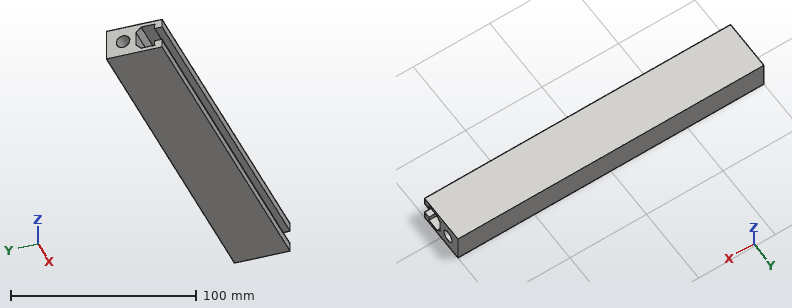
import cadquery as cq

length = 200.0
depth = 32.0
height = 18.5

slot_depth = 15.0
slot_height = 14.0
mouth_height = 8.2
lip_thickness = 4.2
corner_chamfer = 3.0

bore_diameter = 7.5
bore_from_back = 9.5

front_y = -depth / 2
back_y = depth / 2


def bar_between(y_start, y_end, bar_height):
    """Full-length bar between two Y positions, centred on X and Z."""
    return (
        cq.Workplane("XY")
        .box(length, y_end - y_start, bar_height)
        .translate((0, (y_start + y_end) / 2, 0))
    )


def t_slot():
    """Wide channel with chamfered inner corners, reached through a narrow mouth."""
    lip_back_y = front_y + lip_thickness
    floor_y = front_y + slot_depth
    channel = bar_between(lip_back_y, floor_y, slot_height)
    channel = channel.faces(">Y").edges("|X").chamfer(corner_chamfer)
    mouth = bar_between(front_y, lip_back_y, mouth_height)
    return channel.union(mouth)


def bore():
    """Cylinder along X in the solid back part of the profile."""
    return (
        cq.Workplane("YZ")
        .center(back_y - bore_from_back, 0)
        .circle(bore_diameter / 2)
        .extrude(length / 2, both=True)
    )


body = bar_between(front_y, back_y, height)
result = body.cut(t_slot()).cut(bore())